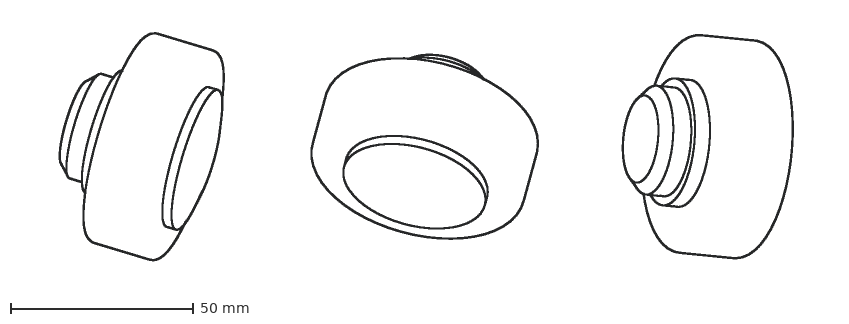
import cadquery as cq

total_length = 37.5

disc_diameter = 60.0
disc_width = 20.0
disc_edge_radius = 2.0

pin_diameter = 30.0
pin_length = 8.5
pin_chamfer_length = 3.1
pin_tip_diameter = 24.0

collar_diameter = 35.0
collar_length = 4.5

hub_diameter = 40.0
hub_taper_length = 1.8
hub_end_diameter = 27.0

collar_start = pin_length
disc_start = collar_start + collar_length
disc_end = disc_start + disc_width
hub_taper_start = total_length - hub_taper_length


def cylinder(diameter, start, end):
    """Cylinder along X between two stations."""
    return cq.Workplane("YZ", origin=(start, 0, 0)).circle(diameter / 2).extrude(end - start)


def cone(start_diameter, end_diameter, start, end):
    """Truncated cone along X between two stations."""
    profile = [
        (start, 0),
        (start, start_diameter / 2),
        (end, end_diameter / 2),
        (end, 0),
    ]
    return cq.Workplane("XY").polyline(profile).close().revolve(360, (0, 0, 0), (1, 0, 0))


pin_tip = cone(pin_tip_diameter, pin_diameter, 0, pin_chamfer_length)
pin = cylinder(pin_diameter, pin_chamfer_length, collar_start)
collar = cylinder(collar_diameter, collar_start, disc_start)
disc = cylinder(disc_diameter, disc_start, disc_end).edges().fillet(disc_edge_radius)
hub = cylinder(hub_diameter, disc_end, hub_taper_start)
hub_taper = cone(hub_diameter, hub_end_diameter, hub_taper_start, total_length)

result = pin_tip.union(pin).union(collar).union(disc).union(hub).union(hub_taper)